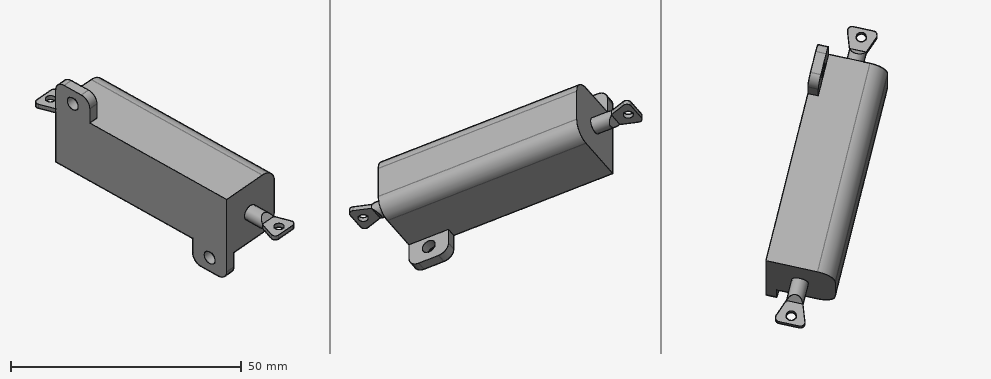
import cadquery as cq

total_length = 70.8
body_depth = 15.5
total_height = 28.95

body_length = 50.05
body_height = 16.1
body_round = 4.0

tab_width = 10.0
tab_thickness = 2.35
tab_round = 2.5
tab_hole_diameter = 3.2
tab_hole_from_tip = 3.75

terminal_from_front = 7.65
pin_diameter = 3.75
lug_length = 5.2
lug_thickness = 1.1
lug_corner_half_width = 3.7
lug_round = 1.0
lug_hole_diameter = 2.2
lug_hole_from_tip = 2.0

front_y = -body_depth / 2
body_end = body_length / 2
terminal_end = total_length / 2
pin_radius = pin_diameter / 2


def make_body():
    """Block with its two long rear edges rounded."""
    block = cq.Workplane("XY").box(body_length, body_depth, body_height)
    return block.edges("|X and >Y").fillet(body_round)


def make_tab():
    """Upper-left tab, reaching down to mid-height inside the housing."""
    top = total_height / 2
    center_x = -body_end + tab_width / 2
    plate = (
        cq.Workplane("XY")
        .box(tab_width, tab_thickness, top, centered=(True, False, False))
        .translate((center_x, front_y, 0))
        .edges("|Y and >Z")
        .fillet(tab_round)
    )
    hole = (
        cq.Workplane("XZ", origin=(center_x, front_y + tab_thickness, top - tab_hole_from_tip))
        .circle(tab_hole_diameter / 2)
        .extrude(tab_thickness)
    )
    return plate.cut(hole)


def make_terminal():
    """Right-hand terminal along the X axis, from the housing end out to the lug tip."""
    lug_root = terminal_end - lug_length
    half_thickness = lug_thickness / 2
    shoulder = lug_root - (pin_radius - half_thickness)

    pin = cq.Workplane("YZ", origin=(body_end, 0, 0)).circle(pin_radius).extrude(lug_root - body_end)
    wedge = (
        cq.Workplane("XZ")
        .moveTo(body_end, -pin_radius)
        .lineTo(shoulder, -pin_radius)
        .lineTo(lug_root, -half_thickness)
        .lineTo(lug_root, half_thickness)
        .lineTo(shoulder, pin_radius)
        .lineTo(body_end, pin_radius)
        .close()
        .extrude(pin_radius, both=True)
    )
    lug = (
        cq.Workplane("XY", origin=(0, 0, -half_thickness))
        .moveTo(lug_root, -pin_radius)
        .lineTo(terminal_end, -lug_corner_half_width)
        .lineTo(terminal_end, lug_corner_half_width)
        .lineTo(lug_root, pin_radius)
        .close()
        .extrude(lug_thickness)
        .edges("|Z and >X")
        .fillet(lug_round)
    )
    hole = (
        cq.Workplane("XY", origin=(terminal_end - lug_hole_from_tip, 0, -half_thickness))
        .circle(lug_hole_diameter / 2)
        .extrude(lug_thickness)
    )
    return pin.intersect(wedge).union(lug.cut(hole))


def turned_about(shape, axis):
    """Copy of the shape turned half a revolution about an axis through the origin."""
    return shape.rotate((0, 0, 0), axis, 180)


tab = make_tab()
terminal = make_terminal()
terminal_shift = (0, front_y + terminal_from_front, 0)

result = (
    make_body()
    .union(tab)
    .union(turned_about(tab, (0, 1, 0)))
    .union(terminal.translate(terminal_shift))
    .union(turned_about(terminal, (0, 0, 1)).translate(terminal_shift))
)